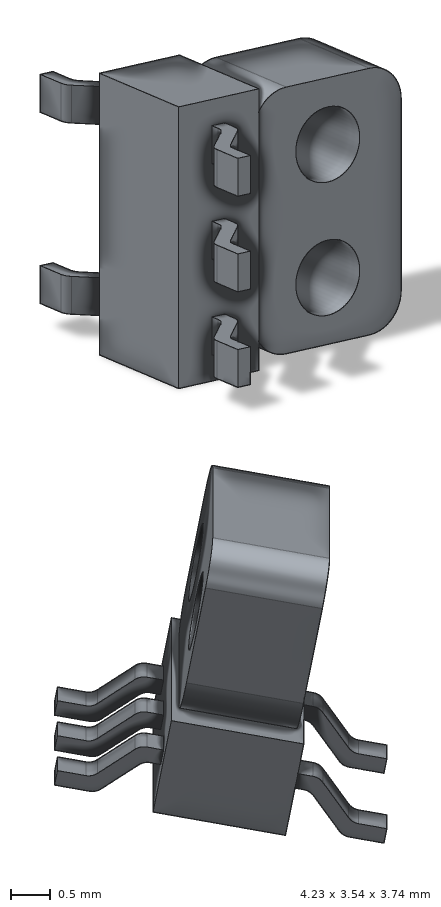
import cadquery as cq
import math

housing_width = 1.7
housing_depth = 1.25
housing_height = 3.74

plate_width = 1.5
plate_depth = 2.295
plate_height = 3.54
plate_corner_radius = 0.5
plate_hole_diameter = 1.0
plate_hole_spacing = 1.77

lead_tip_span = 4.23
lead_pitch = 1.27
lead_width = 0.505
lead_thickness = 0.2
lead_rise = 0.52
lead_bend_angle = 45.0
lead_foot_bend = 0.53
lead_bend_radius = lead_thickness
left_lead_rows = (-1, 1)
right_lead_rows = (-1, 0, 1)


def make_housing():
    """Plain rectangular block."""
    return cq.Workplane("XY").box(
        housing_width, housing_depth, housing_height, centered=(True, False, True)
    )


def make_plate():
    """Round-cornered plate with two holes through its width, touching the housing back."""
    plate_center_y = housing_depth + plate_depth / 2
    return (
        cq.Workplane("YZ", origin=(0, plate_center_y, 0))
        .rect(plate_depth, plate_height)
        .extrude(plate_width / 2, both=True)
        .edges("|X")
        .fillet(plate_corner_radius)
        .faces(">X")
        .workplane(centerOption="CenterOfBoundBox")
        .rarray(0.042, plate_hole_spacing, 1, 2)
        .hole(plate_hole_diameter)
    )


def make_right_lead(row):
    """Strip with two equal and opposite bends, from its tip at +X to the housing side."""
    tip_x = lead_tip_span / 2
    root_x = housing_width / 2
    front_foot_x = tip_x - lead_foot_bend
    slope_run = lead_rise / math.tan(math.radians(lead_bend_angle))
    back_shift = lead_thickness * math.tan(math.radians(lead_bend_angle / 2))
    back_foot_x = front_foot_x + back_shift
    lead = (
        cq.Workplane("XY")
        .moveTo(tip_x, 0)
        .lineTo(front_foot_x, 0)
        .lineTo(front_foot_x - slope_run, lead_rise)
        .lineTo(root_x, lead_rise)
        .lineTo(root_x, lead_rise + lead_thickness)
        .lineTo(back_foot_x - slope_run, lead_rise + lead_thickness)
        .lineTo(back_foot_x, lead_thickness)
        .lineTo(tip_x, lead_thickness)
        .close()
        .extrude(lead_width / 2, both=True)
    )

    bend_edges = (
        (front_foot_x, 0),
        (front_foot_x - slope_run, lead_rise),
        (back_foot_x - slope_run, lead_rise + lead_thickness),
        (back_foot_x, lead_thickness),
    )
    for x, y in bend_edges:
        bend_edge = cq.selectors.NearestToPointSelector((x, y, 0))
        lead = lead.edges("|Z").edges(bend_edge).fillet(lead_bend_radius)
    return lead.translate((0, 0, row * lead_pitch))


def make_left_lead(row):
    """Mirror image of a right lead."""
    return make_right_lead(row).mirror("YZ")


housing = make_housing()
plate = make_plate()
right_leads = [make_right_lead(row) for row in right_lead_rows]
left_leads = [make_left_lead(row) for row in left_lead_rows]

result = cq.Compound.makeCompound(
    [housing.val(), plate.val()] + [lead.val() for lead in right_leads + left_leads]
)